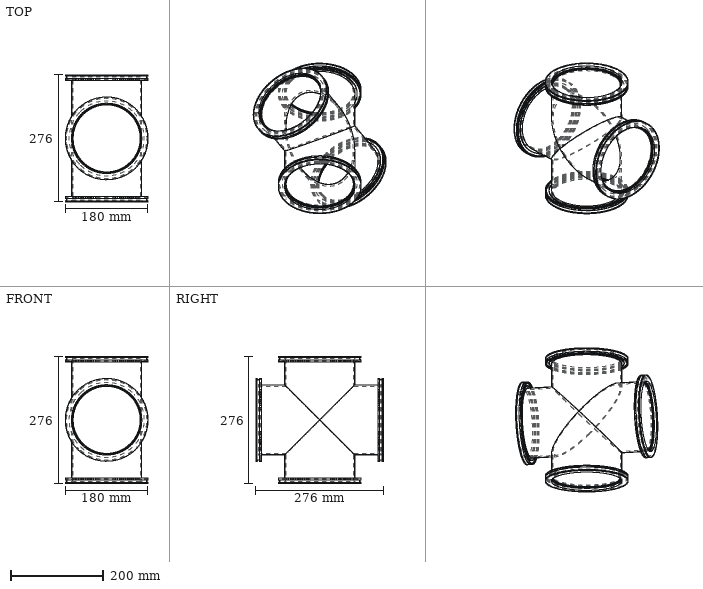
import cadquery as cq

CROSS_LENGTH = 276.0
ARM_REACH = CROSS_LENGTH / 2
ARM_ANGLES = (0, 90, 180, 270)

TUBE_OUTER_DIA = 152.4
TUBE_BORE_DIA = 146.0

FLANGE_DIA = 180.0
FLANGE_THICKNESS = 12.0
FLANGE_BORE_DIA = 148.2
SEAT_DIA = 153.0
SEAT_DEPTH = 4.7
SOCKET_DEPTH = 4.5

CLAMP_GROOVE_RADIUS = 2.8
BACK_LIP = 4.1

BACK_GROOVE_INNER_DIA = 163.0
BACK_GROOVE_OUTER_DIA = 175.0
BACK_GROOVE_DEPTH = 2.0

FLANGE_BACK = ARM_REACH - FLANGE_THICKNESS
TUBE_END = FLANGE_BACK + SOCKET_DEPTH


def ring(outer_dia, inner_dia, bottom, height):
    """Plain ring around Z, starting at the given height."""
    return (
        cq.Workplane("XY")
        .workplane(offset=bottom)
        .circle(outer_dia / 2)
        .circle(inner_dia / 2)
        .extrude(height)
    )


def make_tube():
    """Upward tube arm, mitred by the planes z = y and z = -y."""
    tube = ring(TUBE_OUTER_DIA, TUBE_BORE_DIA, 0, TUBE_END)
    mitre_wedge = (
        cq.Workplane("YZ")
        .polyline([(0, 0), (TUBE_END, TUBE_END), (-TUBE_END, TUBE_END)])
        .close()
        .extrude(TUBE_OUTER_DIA, both=True)
    )
    return tube.intersect(mitre_wedge)


def make_flange():
    """Flange on the upward arm, turned from a half section around Z."""
    rim = FLANGE_DIA / 2
    bore = FLANGE_BORE_DIA / 2
    seat = SEAT_DIA / 2
    socket = TUBE_OUTER_DIA / 2
    seat_floor = ARM_REACH - SEAT_DEPTH
    groove_start = FLANGE_BACK + BACK_LIP
    groove_middle = groove_start + CLAMP_GROOVE_RADIUS
    groove_end = groove_middle + CLAMP_GROOVE_RADIUS
    half_section = (
        cq.Workplane("XZ")
        .moveTo(socket, FLANGE_BACK)
        .lineTo(rim, FLANGE_BACK)
        .lineTo(rim, groove_start)
        .threePointArc((rim - CLAMP_GROOVE_RADIUS, groove_middle), (rim, groove_end))
        .lineTo(rim, ARM_REACH)
        .lineTo(seat, ARM_REACH)
        .lineTo(seat, seat_floor)
        .lineTo(bore, seat_floor)
        .lineTo(bore, TUBE_END)
        .lineTo(socket, TUBE_END)
        .close()
    )
    flange = half_section.revolve(360, (0, 0), (0, 1))
    back_groove = ring(BACK_GROOVE_OUTER_DIA, BACK_GROOVE_INNER_DIA, FLANGE_BACK, BACK_GROOVE_DEPTH)
    return flange.cut(back_groove)


def copies_on_arms(body):
    """One separate copy of an upward-arm body for every arm."""
    return [body.rotate((0, 0, 0), (1, 0, 0), angle).val() for angle in ARM_ANGLES]


tubes = copies_on_arms(make_tube())
flanges = copies_on_arms(make_flange())

result = cq.Compound.makeCompound([*tubes, *flanges])